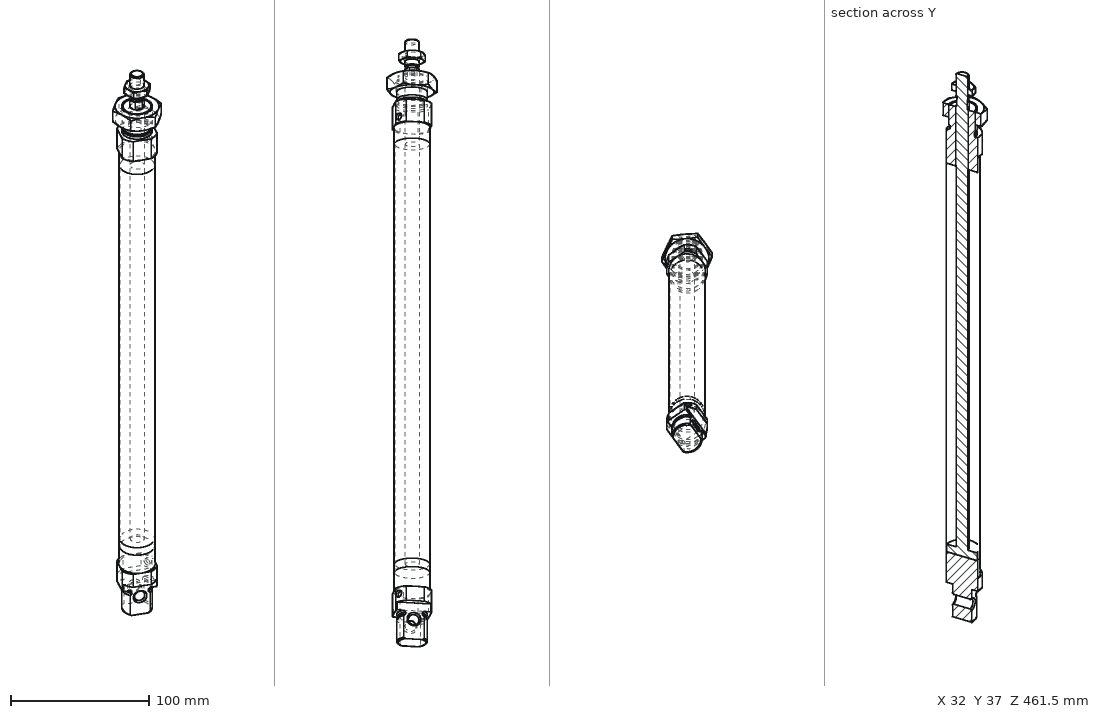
import cadquery as cq
import math

TOTAL_LENGTH = 461.5
THREAD_GROOVE_WIDTH = 4.0
TONGUE_BOTTOM = 21.5
TONGUE_TOP = 27.5
REAR_CAP_TOP = 38.8
BORE_BOTTOM = 54.0
BORE_TOP = 382.5
FRONT_CAP_BOTTOM = 395.0
FRONT_CAP_TOP = 412.0
COLLAR_TOP = 433.5

BARREL_DIAMETER = 26.5
BORE_DIAMETER = 25.0
CAP_DIAMETER = 29.5
CAP_ACROSS_FLATS = BARREL_DIAMETER
THREAD_DIAMETER = 22.0
THREAD_GROOVE_DIAMETER = 20.5
THREAD_GROOVE_TAPER = THREAD_GROOVE_WIDTH / 3
THREAD_CHAMFER = 1.0

EYE_THICKNESS = 16.0
PIN_HOLE_DIAMETER = 8.0
PIN_HOLE_RIM_DIAMETER = 10.0
PIN_HOLE_HEIGHT = 15.0

SCREW_HOLE_DIAMETER = 5.0
SCREW_HOLE_DEPTH = 2.5
SCREW_HOLE_HEIGHTS = (33.5, 399.5)
SCREW_HOLE_ANGLE = 129.0

ROD_DIAMETER = 10.0
PISTON_LENGTH = 6.5
ROD_END_CHAMFER = 1.0
WRENCH_ACROSS_FLATS = 8.8
WRENCH_BOTTOM = 434.0
ROD_GROOVE_DIAMETER = WRENCH_ACROSS_FLATS
ROD_GROOVE_BOTTOM = 440.0
ROD_GROOVE_TOP = 442.0

MOUNTING_NUT_ACROSS_FLATS = 32.0
MOUNTING_NUT_BOTTOM = 422.5
MOUNTING_NUT_HEIGHT = COLLAR_TOP - MOUNTING_NUT_BOTTOM
ROD_NUT_ACROSS_FLATS = 17.0
ROD_NUT_BOTTOM = 446.0
ROD_NUT_HEIGHT = 5.5
NUT_CHAMFER_ANGLE = 25.0
HALF_HEX_SECTOR = 30.0


def cylinder(diameter, bottom, top):
    return cq.Workplane("XY").workplane(offset=bottom).circle(diameter / 2).extrude(top - bottom)


def slab(width_x, width_y, bottom, top):
    return cq.Workplane("XY").workplane(offset=bottom).rect(width_x, width_y).extrude(top - bottom)


def cap(bottom, top):
    """A round end cap with four flats level with the barrel."""
    flats = slab(CAP_ACROSS_FLATS, CAP_ACROSS_FLATS, bottom, top)
    return cylinder(CAP_DIAMETER, bottom, top).intersect(flats)


def screw_hole(height):
    """A blind radial hole in the rounded corner of a cap."""
    angle = math.radians(SCREW_HOLE_ANGLE)
    axis = cq.Vector(math.cos(angle), math.sin(angle), 0)
    floor = axis * (CAP_DIAMETER / 2 - SCREW_HOLE_DEPTH) + cq.Vector(0, 0, height)
    return cq.Solid.makeCylinder(SCREW_HOLE_DIAMETER / 2, 2 * SCREW_HOLE_DEPTH, floor, axis)


def pin_hole():
    """The cross hole of the rear eye, along X, with a countersink on each flat."""
    sink = (PIN_HOLE_RIM_DIAMETER - PIN_HOLE_DIAMETER) / 2
    half = EYE_THICKNESS / 2
    profile = (
        cq.Workplane("XY")
        .moveTo(-half, 0)
        .lineTo(-half, PIN_HOLE_RIM_DIAMETER / 2)
        .lineTo(-half + sink, PIN_HOLE_DIAMETER / 2)
        .lineTo(half - sink, PIN_HOLE_DIAMETER / 2)
        .lineTo(half, PIN_HOLE_RIM_DIAMETER / 2)
        .lineTo(half, 0)
        .close()
    )
    return profile.revolve(360, (0, 0, 0), (1, 0, 0)).translate((0, 0, PIN_HOLE_HEIGHT))


def ring_groove(outer_diameter, root_diameter, bottom, lower_taper, root_width, upper_taper):
    """Cutter for a groove around the axis, tapering from the outer diameter down to a straight root."""
    outer = outer_diameter / 2
    root = root_diameter / 2
    root_bottom = bottom + lower_taper
    root_top = root_bottom + root_width
    top = root_top + upper_taper
    outline = [(root, root_bottom), (outer, bottom), (outer, top), (root, root_top)]
    return cq.Workplane("XZ").polyline(outline).close().revolve(360, (0, 0, 0), (0, 1, 0))


def thread_groove(bottom):
    """Undercut between a thread and its cap, tapered on both sides."""
    root_width = THREAD_GROOVE_WIDTH - 2 * THREAD_GROOVE_TAPER
    return ring_groove(
        THREAD_DIAMETER, THREAD_GROOVE_DIAMETER, bottom, THREAD_GROOVE_TAPER, root_width, THREAD_GROOVE_TAPER
    )


def threaded_collar():
    """The collar that carries the mounting nut, with a chamfered mouth and an undercut at its foot."""
    collar = cylinder(THREAD_DIAMETER, FRONT_CAP_TOP, COLLAR_TOP).faces(">Z").chamfer(THREAD_CHAMFER)
    return collar.cut(thread_groove(FRONT_CAP_TOP))


def rear_end():
    """The rear cap narrowing to a tongue, an undercut and the eye, with the pin hole through it."""
    eye = cylinder(THREAD_DIAMETER, 0, TONGUE_BOTTOM).faces("<Z").chamfer(THREAD_CHAMFER)
    eye = eye.cut(thread_groove(TONGUE_BOTTOM - THREAD_GROOVE_WIDTH))
    tongue = cap(TONGUE_BOTTOM, TONGUE_TOP)
    flats = slab(EYE_THICKNESS, CAP_DIAMETER, 0, TONGUE_TOP)
    narrow = eye.union(tongue).intersect(flats)
    return narrow.union(cap(TONGUE_TOP, REAR_CAP_TOP)).cut(pin_hole())


def make_housing():
    """Barrel, both caps, rear eye and threaded collar, bored for the piston and the rod."""
    body = cylinder(BARREL_DIAMETER, REAR_CAP_TOP, FRONT_CAP_BOTTOM)
    body = body.union(rear_end())
    body = body.union(cap(FRONT_CAP_BOTTOM, FRONT_CAP_TOP))
    body = body.union(threaded_collar())
    body = body.cut(cylinder(BORE_DIAMETER, BORE_BOTTOM, BORE_TOP))
    body = body.cut(cylinder(ROD_DIAMETER, BORE_TOP, COLLAR_TOP))
    for height in SCREW_HOLE_HEIGHTS:
        body = body.cut(cq.Workplane(screw_hole(height)))
    return body


def make_piston_rod():
    """Piston at the rear of the bore and its rod, with wrench flats and a groove below the rod thread."""
    rod = cylinder(ROD_DIAMETER, BORE_BOTTOM, TOTAL_LENGTH).faces(">Z").chamfer(ROD_END_CHAMFER)
    groove_taper = (ROD_DIAMETER - ROD_GROOVE_DIAMETER) / 2
    root_width = ROD_GROOVE_TOP - ROD_GROOVE_BOTTOM - groove_taper
    groove = ring_groove(ROD_DIAMETER, ROD_GROOVE_DIAMETER, ROD_GROOVE_BOTTOM, 0, root_width, groove_taper)
    flats = cylinder(ROD_DIAMETER, WRENCH_BOTTOM, ROD_GROOVE_BOTTOM)
    flats = flats.cut(slab(WRENCH_ACROSS_FLATS, ROD_DIAMETER, WRENCH_BOTTOM, ROD_GROOVE_BOTTOM))
    piston = cylinder(BORE_DIAMETER, BORE_BOTTOM, BORE_BOTTOM + PISTON_LENGTH)
    return rod.cut(groove).cut(flats).union(piston)


def make_nut(across_flats, hole_diameter, bottom, height):
    """A hexagon nut with corners along Y, bevelled by a cone at both ends."""
    corner_diameter = across_flats / math.cos(math.radians(HALF_HEX_SECTOR))
    hexagon = cq.Workplane("XY").polygon(6, corner_diameter).extrude(height)
    hexagon = hexagon.rotate((0, 0, 0), (0, 0, 1), HALF_HEX_SECTOR)
    drop = (corner_diameter - across_flats) / 2 * math.tan(math.radians(NUT_CHAMFER_ANGLE))
    bevel = (
        cq.Workplane("XZ")
        .moveTo(0, 0)
        .lineTo(across_flats / 2, 0)
        .lineTo(corner_diameter / 2, drop)
        .lineTo(corner_diameter / 2, height - drop)
        .lineTo(across_flats / 2, height)
        .lineTo(0, height)
        .close()
        .revolve(360, (0, 0, 0), (0, 1, 0))
    )
    hole = cylinder(hole_diameter, 0, height)
    return hexagon.intersect(bevel).cut(hole).translate((0, 0, bottom))


housing = make_housing()
piston_rod = make_piston_rod()
mounting_nut = make_nut(MOUNTING_NUT_ACROSS_FLATS, THREAD_DIAMETER, MOUNTING_NUT_BOTTOM, MOUNTING_NUT_HEIGHT)
rod_nut = make_nut(ROD_NUT_ACROSS_FLATS, ROD_DIAMETER, ROD_NUT_BOTTOM, ROD_NUT_HEIGHT)

result = cq.Compound.makeCompound(
    [housing.val(), piston_rod.val(), mounting_nut.val(), rod_nut.val()]
)